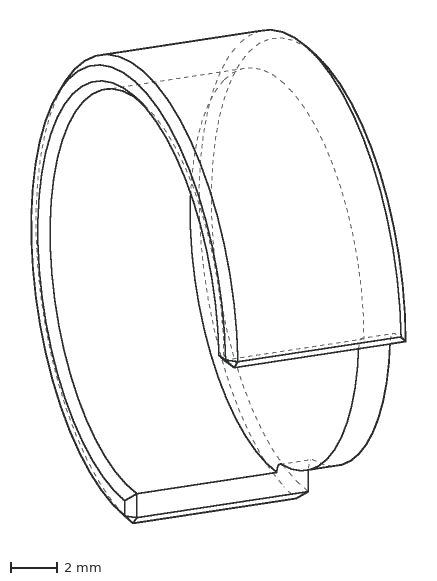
import cadquery as cq
import math

outer_radius = 10.5
bore_radius = 9.0
floor_radius = 8.5
depth = 8.5
floor_thickness = 1.5
fillet_radius = 0.5
chamfer_size = 0.4

blend_center = math.sqrt((floor_radius + fillet_radius) ** 2 - fillet_radius ** 2)
touch_ratio = floor_radius / (floor_radius + fillet_radius)
touch_far = blend_center * touch_ratio
touch_near = fillet_radius * touch_ratio

touch_angle = math.atan2(fillet_radius, blend_center)
mid_angle = (math.pi / 2 + math.pi - touch_angle) / 2
mid_far = blend_center + fillet_radius * math.cos(mid_angle)
mid_near = fillet_radius - fillet_radius * math.sin(mid_angle)

diagonal = math.sqrt(0.5)


def make_blank():
    """Full-depth disc with its lower-right quarter stepped in to the floor radius."""
    return (
        cq.Workplane("XZ")
        .moveTo(outer_radius, 0)
        .threePointArc((-outer_radius * diagonal, outer_radius * diagonal), (0, -outer_radius))
        .lineTo(0, -blend_center)
        .threePointArc((mid_near, -mid_far), (touch_near, -touch_far))
        .threePointArc((floor_radius * diagonal, -floor_radius * diagonal), (touch_far, -touch_near))
        .threePointArc((mid_far, -mid_near), (blend_center, 0))
        .close()
        .extrude(depth)
    )


def make_bore():
    """Bore open at the front (-Y), stopping at the floor."""
    return (
        cq.Workplane("XZ", origin=(0, -floor_thickness, 0))
        .circle(bore_radius)
        .extrude(depth - floor_thickness)
    )


cup = make_blank().cut(make_bore())

front_rim = cup.faces("<Y").edges()
wall_end_corners = cup.edges(
    cq.selectors.NearestToPointSelector((outer_radius, -depth / 2, 0))
).add(cup.edges(cq.selectors.NearestToPointSelector((0, -depth / 2, -outer_radius))))
back_rim = cup.faces(">Y").edges("%CIRCLE").filter(
    lambda edge: math.isclose(edge.radius(), outer_radius, rel_tol=1e-6)
)
result = front_rim.add(wall_end_corners).add(back_rim).chamfer(chamfer_size)